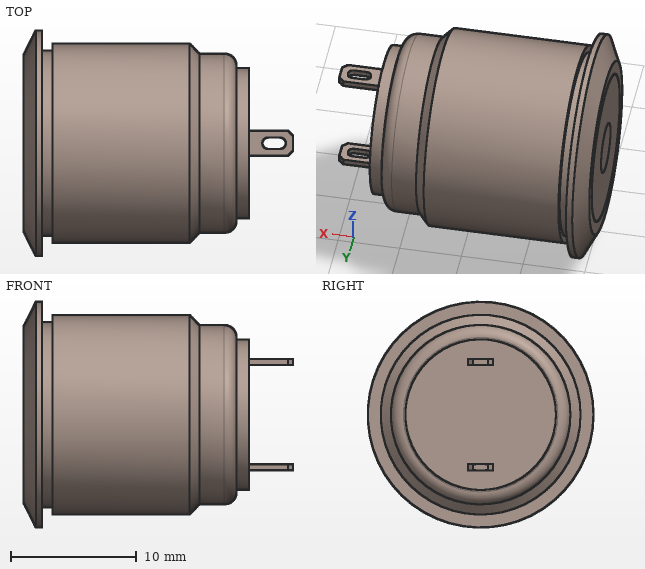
import cadquery as cq

total_length = 21.5

face_diameter = 14.0
flange_diameter = 18.0
bevel_width = (flange_diameter - face_diameter) / 2
bevel_depth = bevel_width / 2
flange_end = 1.5

neck_diameter = 14.8
neck_end = 2.32
barrel_diameter = 15.9
taper_start = 13.25
taper_end = 14.02

rear_diameter = 14.3
plug_diameter = 12.0
plug_end = 18.0
plug_length = bevel_depth
rear_end = plug_end - plug_length
rear_fillet = bevel_depth

button_diameter = 11.8
recess_diameter = 11.9
indicator_diameter = 4.0
button_depth = flange_end

terminal_offset = 4.2
terminal_width = 2.0
terminal_thickness = 0.5
terminal_length = total_length - plug_end
corner_chamfer = 0.4
slot_length = 1.85
slot_width = 0.88
slot_center = 19.97


def make_shell():
    """Turned body: bevelled flange, neck, barrel, tapered and filleted rear, plug."""
    profile = (
        cq.Workplane("XY")
        .moveTo(0, 0)
        .lineTo(0, face_diameter / 2)
        .lineTo(bevel_depth, flange_diameter / 2)
        .lineTo(flange_end, flange_diameter / 2)
        .lineTo(flange_end, neck_diameter / 2)
        .lineTo(neck_end, neck_diameter / 2)
        .lineTo(neck_end, barrel_diameter / 2)
        .lineTo(taper_start, barrel_diameter / 2)
        .lineTo(taper_end, rear_diameter / 2)
        .lineTo(rear_end - rear_fillet, rear_diameter / 2)
        .tangentArcPoint((rear_fillet, -rear_fillet))
        .lineTo(rear_end, plug_diameter / 2)
        .lineTo(plug_end, plug_diameter / 2)
        .lineTo(plug_end, 0)
        .close()
    )
    return profile.revolve(360, (0, 0, 0), (1, 0, 0))


def make_terminal(z):
    """Flat solder lug with chamfered corners and an eyelet slot, centred at height z."""
    lug = (
        cq.Workplane("XY")
        .box(terminal_length, terminal_width, terminal_thickness, centered=(False, True, True))
        .edges("|Z and >X")
        .chamfer(corner_chamfer)
        .translate((plug_end, 0, z))
    )
    slot = (
        cq.Workplane("XY")
        .center(slot_center, 0)
        .slot2D(slot_length, slot_width)
        .extrude(terminal_thickness, both=True)
        .translate((0, 0, z))
    )
    return lug.cut(slot)


def make_ring(outer_diameter, inner_diameter, depth):
    """Ring along X that starts at the front face."""
    return cq.Workplane("YZ").circle(outer_diameter / 2).circle(inner_diameter / 2).extrude(depth)


def make_housing():
    """Shell with a button recess around the indicator post, and two terminals at the back."""
    body = make_shell().cut(make_ring(recess_diameter, indicator_diameter, button_depth))
    for z in (-terminal_offset, terminal_offset):
        body = body.union(make_terminal(z))
    return body


def make_button():
    """Ring that fits around the post and leaves a thin gap to the recess wall."""
    return make_ring(button_diameter, indicator_diameter, button_depth)


housing = make_housing()
button = make_button()
result = cq.Compound.makeCompound([housing.val(), button.val()])